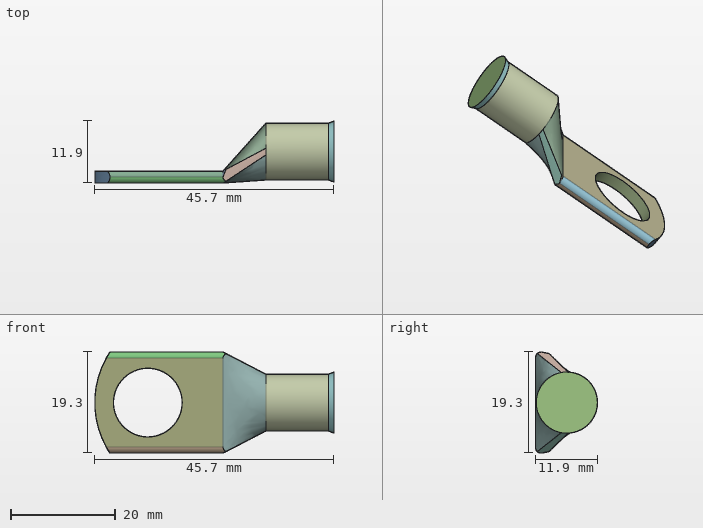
import cadquery as cq
import math

LENGTH = 45.65
TONGUE_WIDTH = 19.3
TONGUE_THICKNESS = 2.35
TONGUE_END = 24.45
TIP_RADIUS = 17.45
EDGE_FLAT = 0.01
EDGE_RADIUS = (TONGUE_THICKNESS - EDGE_FLAT) / 2
HOLE_RADIUS = 6.55
HOLE_X = 10.15

BARREL_RADIUS = 5.45
BARREL_START = 32.65
FLARE_RADIUS = 5.85
FLARE_LENGTH = 1.1
TOTAL_DEPTH = 11.85
BARREL_Y = TOTAL_DEPTH - FLARE_RADIUS

SIDE_ARC = 6.8

HALF_WIDTH = TONGUE_WIDTH / 2


def cross_section(x):
    """Sketch plane across the part at x: local X is +Y, local Y is +Z."""
    return cq.Plane(origin=(x, 0, 0), xDir=(0, 1, 0), normal=(1, 0, 0))


def tongue_outline(workplane):
    """Square-edged section of the tongue."""
    return (
        workplane.moveTo(0, -HALF_WIDTH)
        .lineTo(0, HALF_WIDTH)
        .lineTo(TONGUE_THICKNESS, HALF_WIDTH)
        .lineTo(TONGUE_THICKNESS, -HALF_WIDTH)
        .close()
    )


def barrel_point(angle):
    """Point on the barrel circle; the angle rises from the +Z side toward +Y."""
    turn = math.radians(angle)
    return (BARREL_Y + BARREL_RADIUS * math.sin(turn), BARREL_RADIUS * math.cos(turn))


def barrel_outline(workplane):
    """Barrel circle split into four arcs that pair with the tongue outline."""
    return (
        workplane.moveTo(*barrel_point(180 + SIDE_ARC))
        .threePointArc(barrel_point(-90), barrel_point(-SIDE_ARC))
        .threePointArc(barrel_point(0), barrel_point(SIDE_ARC))
        .threePointArc(barrel_point(90), barrel_point(180 - SIDE_ARC))
        .threePointArc(barrel_point(180), barrel_point(180 + SIDE_ARC))
        .close()
    )


def make_tongue():
    """Square-edged, square-ended flat bar."""
    return tongue_outline(cq.Workplane(cross_section(0))).extrude(TONGUE_END)


def make_transition():
    """Straight-sided blend from the flat bar to the round barrel."""
    start = tongue_outline(cq.Workplane(cross_section(TONGUE_END))).val()
    end = barrel_outline(cq.Workplane(cross_section(BARREL_START))).val()
    return cq.Workplane(cq.Solid.makeLoft([start, end], True))


def make_tip_waste():
    """Material outside the curved tip of the tongue."""
    slab = (
        cq.Workplane("XZ")
        .center(0, -HALF_WIDTH)
        .rect(TIP_RADIUS, TONGUE_WIDTH, centered=False)
        .extrude(-TONGUE_THICKNESS)
    )
    tip = cq.Workplane("XZ").center(TIP_RADIUS, 0).circle(TIP_RADIUS).extrude(-TONGUE_THICKNESS)
    return slab.cut(tip)


def make_hole():
    return cq.Workplane("XZ").center(HOLE_X, 0).circle(HOLE_RADIUS).extrude(-TONGUE_THICKNESS)


def make_barrel():
    flare_start = LENGTH - FLARE_LENGTH
    return (
        cq.Workplane("XY")
        .moveTo(BARREL_START, BARREL_Y)
        .lineTo(BARREL_START, BARREL_Y + BARREL_RADIUS)
        .lineTo(flare_start, BARREL_Y + BARREL_RADIUS)
        .lineTo(LENGTH, BARREL_Y + FLARE_RADIUS)
        .lineTo(LENGTH, BARREL_Y)
        .close()
        .revolve(360, (BARREL_START, BARREL_Y), (LENGTH, BARREL_Y))
    )


palm = make_tongue().union(make_transition()).edges("|X").fillet(EDGE_RADIUS)
palm = palm.cut(make_tip_waste()).cut(make_hole())
result = palm.union(make_barrel())